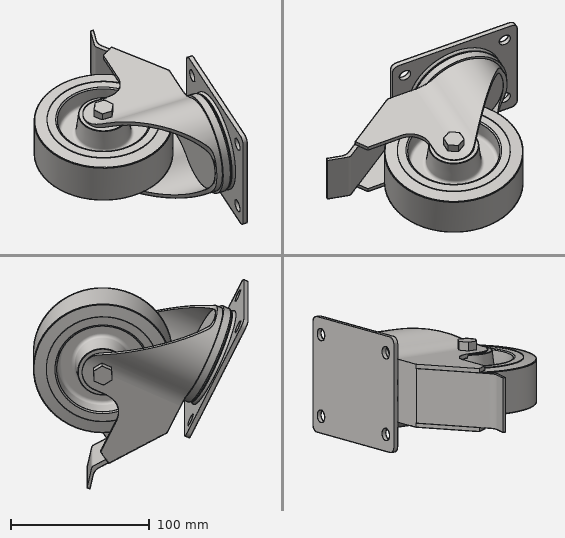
import cadquery as cq
import math


wheel_radius = 50.0
tread_half_width = 16.1
tread_edge_radius = 0.5
rim_radius = 40.7
rim_half_width = 17.5
rim_step = 0.5
hub_top_radius = 18.0
hub_chamfer = 0.3
hub_half_width = 22.5
hub_foot_radius = 20.0
web_half_width = 4.2
pocket_mouth_radius = 34.5
pocket_wall_radius = 33.2
pocket_chamfer = 0.7
pocket_foot_radius = 32.2
pocket_fillet = 2.6

swivel_x = 36.0
plate_length = 100.0
plate_width = 85.0
plate_thickness = 3.5
plate_corner_radius = 5.0
hole_diameter = 9.0
hole_spacing_x = 80.0
hole_spacing_z = 60.0
plate_top = 75.0
plate_bottom = plate_top - plate_thickness
head_radius = 73.5 / 2
head_bottom = 62.0
groove_top = 69.4
groove_floor_width = 0.7
groove_bottom = 67.5
groove_depth = 1.0

fork_half_width = 23.2
fork_radius = 70.0 / 2
sheet_thickness = 3.1
crown_thickness = 4.2
fork_end_radius = 14.9
fork_slope = math.radians(51.4)
fork_skirt_bottom = 57.6
fork_skirt_fillet = 8.6

arm_tip = (-62.3, 34.0)
arm_heel = (-56.5, 25.0)
arm_fillet = 15.0

lever_slope = math.radians(35.2)
pad_droop = math.radians(13.3)
lever_corner = (-72.5, 27.5)
lever_under_corner = (-70.8, 24.7)
lever_end_x = -87.0
lever_inner_bend = 8.6
lever_outer_bend = 3.1

bolt_across_flats = 13.0
bolt_head_height = 6.4


def make_wheel():
    """Wheel with a tapered hub and an annular pocket on each side."""
    upper_half = [
        (wheel_radius, tread_half_width - tread_edge_radius),
        (wheel_radius - tread_edge_radius, tread_half_width),
        (rim_radius, rim_half_width - rim_step),
        (rim_radius, rim_half_width),
        (hub_foot_radius, rim_half_width),
        (hub_foot_radius, hub_half_width),
        (0, hub_half_width),
    ]
    lower_half = [(radius, -z) for radius, z in reversed(upper_half)]
    blank = cq.Workplane("XZ").polyline(upper_half + lower_half).close().revolve(360, (0, 0), (0, 1))
    pocket = (
        cq.Workplane("XZ")
        .moveTo(hub_foot_radius, web_half_width)
        .lineTo(pocket_foot_radius, web_half_width)
        .lineTo(pocket_wall_radius, rim_half_width - pocket_chamfer)
        .lineTo(pocket_mouth_radius, rim_half_width)
        .lineTo(pocket_mouth_radius, hub_half_width)
        .lineTo(hub_top_radius - hub_chamfer, hub_half_width)
        .lineTo(hub_top_radius, hub_half_width - hub_chamfer)
        .close()
        .revolve(360, (0, 0), (0, 1))
        .faces("<Z")
        .edges()
        .fillet(pocket_fillet)
    )
    return blank.cut(pocket).cut(pocket.mirror("XY"))


def make_plate():
    """Mounting plate with four bolt holes."""
    return (
        cq.Workplane("XZ", origin=(swivel_x, plate_top, 0))
        .rect(plate_length, plate_width)
        .extrude(plate_thickness)
        .edges("|Y")
        .fillet(plate_corner_radius)
        .faces("<Y")
        .workplane(origin=(swivel_x, plate_bottom, 0))
        .rect(hole_spacing_x, hole_spacing_z, forConstruction=True)
        .vertices()
        .hole(hole_diameter)
    )


def make_swivel_head():
    """Bearing disc below the plate, with a groove round its rim and a rounded shoulder above it."""
    shoulder_height = plate_bottom - groove_top
    shoulder_radius = (shoulder_height**2 + groove_depth**2) / (2 * groove_depth)
    shoulder_half_angle = math.asin(shoulder_height / shoulder_radius) / 2
    shoulder_middle = (
        head_radius - shoulder_radius * (1 - math.cos(shoulder_half_angle)),
        plate_bottom - shoulder_radius * math.sin(shoulder_half_angle),
    )
    return (
        cq.Workplane("XY", origin=(swivel_x, 0, 0))
        .moveTo(0, head_bottom)
        .lineTo(head_radius, head_bottom)
        .lineTo(head_radius, groove_bottom)
        .lineTo(head_radius - groove_depth, groove_top - groove_floor_width)
        .lineTo(head_radius - groove_depth, groove_top)
        .threePointArc(shoulder_middle, (head_radius, plate_bottom))
        .lineTo(0, plate_bottom)
        .close()
        .revolve(360, (0, 0), (0, 1))
    )


def fork_column(inset, top):
    """Column with a round skirt blended into two flat sides, inset from the outer skin."""
    half_width = fork_half_width - inset
    radius = fork_radius - inset
    blend = (swivel_x**2 + half_width**2 - radius**2) / (2 * (radius - half_width))
    share = radius / (radius + blend)
    join = (swivel_x * (1 - share), (half_width + blend) * share)
    half_angle = math.atan2(swivel_x, half_width + blend) / 2
    middle = (blend * math.sin(half_angle), half_width + blend * (1 - math.cos(half_angle)))
    left_end = lever_end_x - inset
    return (
        cq.Workplane("XZ", origin=(0, top, 0))
        .moveTo(left_end, half_width)
        .lineTo(0, half_width)
        .threePointArc(middle, join)
        .threePointArc((swivel_x + radius, 0), (join[0], -join[1]))
        .threePointArc((middle[0], -middle[1]), (0, -half_width))
        .lineTo(left_end, -half_width)
        .close()
        .extrude(top + fork_end_radius)
    )


def make_fork():
    """Bent sheet fork with a flat crown, trimmed to its side outline."""
    rounded_end = (fork_end_radius * math.sin(fork_slope), -fork_end_radius * math.cos(fork_slope))
    slope_rise = fork_skirt_bottom - rounded_end[1]
    slope_top_x = rounded_end[0] + slope_rise / math.tan(fork_slope)
    fillet_length = fork_skirt_fillet * math.tan(fork_slope / 2)
    fillet_start = (
        slope_top_x - fillet_length * math.cos(fork_slope),
        fork_skirt_bottom - fillet_length * math.sin(fork_slope),
    )
    skirt_end_x = swivel_x + fork_radius + sheet_thickness
    arm_top_x = arm_tip[0] + (head_bottom - arm_tip[1]) / math.tan(lever_slope)
    outline = (
        cq.Workplane("XY", origin=(0, 0, -head_radius))
        .moveTo(arm_top_x, head_bottom)
        .lineTo(*arm_tip)
        .lineTo(*arm_heel)
        .lineTo(-fork_end_radius - arm_fillet, arm_heel[1])
        .tangentArcPoint((-fork_end_radius, arm_heel[1] - arm_fillet), relative=False)
        .lineTo(-fork_end_radius, 0)
        .tangentArcPoint(rounded_end, relative=False)
        .lineTo(*fillet_start)
        .tangentArcPoint((slope_top_x + fillet_length, fork_skirt_bottom), relative=False)
        .lineTo(skirt_end_x, fork_skirt_bottom)
        .lineTo(skirt_end_x, head_bottom)
        .close()
        .extrude(2 * head_radius)
    )
    outside = fork_column(0, head_bottom)
    inside = fork_column(sheet_thickness, head_bottom - crown_thickness)
    return outside.cut(inside).intersect(outline)


def make_lever():
    """Bent brake lever sheet spanning the gap between the arms."""
    half_width = fork_half_width - sheet_thickness

    def slope_top(corner):
        return (corner[0] + (head_bottom - corner[1]) / math.tan(lever_slope), head_bottom)

    def pad_end(corner):
        return (lever_end_x, corner[1] + (corner[0] - lever_end_x) * math.tan(pad_droop))

    sheet = (
        cq.Workplane("XY", origin=(0, 0, -half_width))
        .polyline([
            slope_top(lever_corner),
            lever_corner,
            pad_end(lever_corner),
            pad_end(lever_under_corner),
            lever_under_corner,
            slope_top(lever_under_corner),
        ])
        .close()
        .extrude(2 * half_width)
    )
    inner_bend = cq.selectors.NearestToPointSelector((*lever_corner, 0))
    outer_bend = cq.selectors.NearestToPointSelector((*lever_under_corner, 0))
    sheet = sheet.edges("|Z").edges(inner_bend).fillet(lever_inner_bend)
    return sheet.edges("|Z").edges(outer_bend).fillet(lever_outer_bend)


def make_bolt():
    """Hexagon bolt running through both fork sides."""
    half_length = fork_half_width + bolt_head_height
    return (
        cq.Workplane("XY", origin=(0, 0, -half_length))
        .polygon(6, bolt_across_flats, circumscribed=True)
        .extrude(2 * half_length)
    )


result = (
    make_plate()
    .union(make_swivel_head())
    .union(make_fork())
    .union(make_lever())
    .union(make_wheel())
    .union(make_bolt())
)